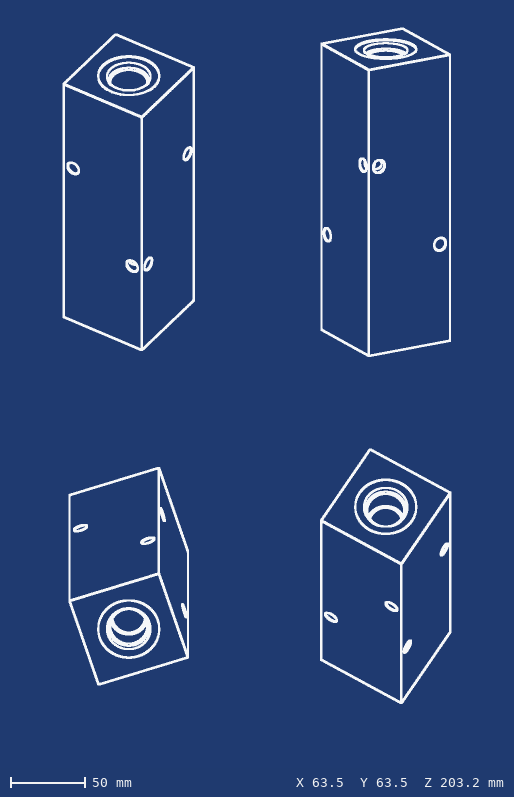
import cadquery as cq

width = 63.5
height = 203.2
edge_chamfer = 0.26

spotface_diameter = 41.0
spotface_depth = 0.8
seat_mouth_diameter = 29.3
seat_base_diameter = 27.0
seat_depth = 3.5
thread_diameter = 24.8
thread_depth = 23.0
bore_diameter = 22.0

hole_diameter = 8.5
hole_offset = 23.8
hole_rise = width / 2
hole_chamfer = 0.5


def make_port():
    """Port cavity as a solid of revolution, opening at the top face."""
    top = height / 2
    seat_top = top - spotface_depth
    seat_base = seat_top - seat_depth
    lead_in = (seat_base_diameter - thread_diameter) / 2
    profile = [
        (0, top),
        (spotface_diameter / 2, top),
        (spotface_diameter / 2, seat_top),
        (seat_mouth_diameter / 2, seat_top),
        (seat_base_diameter / 2, seat_base),
        (thread_diameter / 2, seat_base - lead_in),
        (thread_diameter / 2, top - thread_depth),
        (0, top - thread_depth),
    ]
    return cq.Workplane("XZ").polyline(profile).close().revolve(360, (0, 0), (0, 1))


def make_mounting_holes(plane):
    """Pair of diagonally opposite holes running through the block along the plane's normal."""
    centres = [(-hole_offset, hole_rise), (hole_offset, -hole_rise)]
    return (
        cq.Workplane(plane)
        .pushPoints(centres)
        .circle(hole_diameter / 2)
        .extrude(width, both=True)
    )


front_plane = cq.Plane.named("XZ")
side_plane = cq.Plane(origin=(0, 0, 0), xDir=(0, -1, 0), normal=(-1, 0, 0))

block = cq.Workplane("XY").box(width, width, height).edges().chamfer(edge_chamfer)
bore = cq.Workplane("XY").circle(bore_diameter / 2).extrude(height, both=True)
upper_port = make_port()
lower_port = upper_port.mirror("XY")

result = block.cut(bore).cut(upper_port).cut(lower_port)
for plane in (front_plane, side_plane):
    result = result.cut(make_mounting_holes(plane))

side_faces = result.faces("<X or >X or <Y or >Y")
result = side_faces.edges("%CIRCLE").chamfer(hole_chamfer)